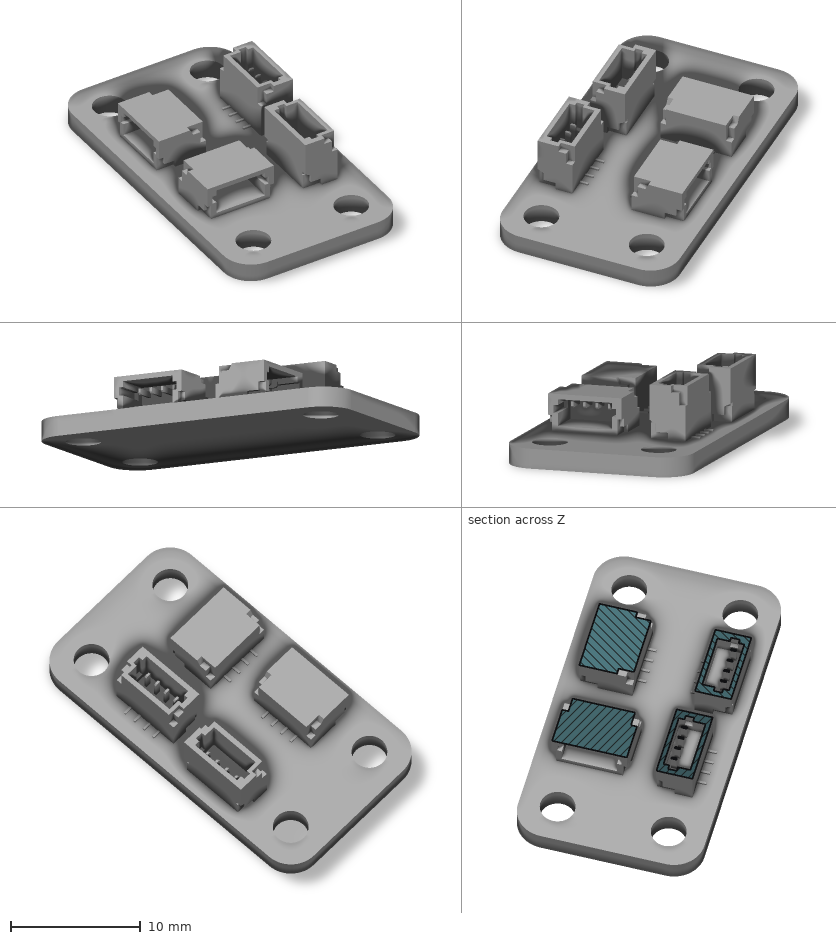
import cadquery as cq

BOARD_LENGTH = 27.1
BOARD_WIDTH = 14.93
BOARD_THICKNESS = 1.57
BOARD_CORNER_RADIUS = 2.45
HOLE_DIAMETER = 2.75
HOLE_SPACING_X = 21.08
HOLE_SPACING_Y = 8.89

HOUSING_WIDTH = 6.01
HOUSING_LONG = 4.28
HOUSING_SHORT = 2.93

STEP_DEPTH = 0.51
UPPER_NOTCH_WIDTH = 0.5
UPPER_NOTCH_HEIGHT = 1.5
UPPER_NOTCH_LENGTH = 1.16
LOWER_NOTCH_WIDTH = 0.33
LOWER_NOTCH_HEIGHT = 1.25
LOWER_NOTCH_LENGTH = 1.5
LOWER_STEP_HEIGHT = 0.6
RAMP_RUN = 0.27

CAVITY_WIDTH = 4.42
CAVITY_HEIGHT = 2.1
CAVITY_DEPTH = 2.98
CAVITY_WALL = (HOUSING_SHORT - CAVITY_HEIGHT) / 2
SLOT_DEPTH = 0.35
SLOT_LENGTH = 2.45
SLOT_HEIGHT = 0.65
SLOT_OFFSET = 0.87

CONTACT_COUNT = 4
CONTACT_PITCH = 1.0
CONTACT_WIDTH = 0.2
CONTACT_HEIGHT = 0.45
CONTACT_OFFSET = 0.8
CONTACT_LENGTH = 1.63
TIP_CHAMFER = 0.14
FOOT_LENGTH = 0.7
FOOT_THICKNESS = 0.14

UPRIGHT_PLACES = [(-4.0, 3.39, 0), (3.98, 5.4, 180)]
FLAT_PLACES = [(-4.0, -1.6, 180), (2.1, -3.03, -90)]


def side_prism(points, x_start, width):
    """Extrude a (Y, Z) outline along +X."""
    return cq.Workplane("YZ", origin=(x_start, 0, 0)).polyline(points).close().extrude(width)


def side_pair(points, width):
    """The same outline as a cut of the given width into both side walls."""
    left = side_prism(points, -HOUSING_WIDTH / 2, width)
    return left.union(left.mirror("YZ"))


def make_board():
    board = cq.Workplane("XY").box(BOARD_LENGTH, BOARD_WIDTH, BOARD_THICKNESS, centered=(True, True, False))
    board = board.translate((0, 0, -BOARD_THICKNESS)).edges("|Z").fillet(BOARD_CORNER_RADIUS)
    return (
        board.faces(">Z").workplane()
        .rect(HOLE_SPACING_X, HOLE_SPACING_Y, forConstruction=True).vertices()
        .hole(HOLE_DIAMETER)
    )


def make_shell(depth, height):
    """Block on Z = 0 with its contact side on Y = 0, notched high in front and low at the rear."""
    shell = cq.Workplane("XY").box(HOUSING_WIDTH, depth, height, centered=(True, False, False))
    upper_notch = [
        (0, height),
        (UPPER_NOTCH_LENGTH, height),
        (UPPER_NOTCH_LENGTH, height - STEP_DEPTH),
        (STEP_DEPTH, height - STEP_DEPTH),
        (STEP_DEPTH, height - UPPER_NOTCH_HEIGHT),
        (0, height - UPPER_NOTCH_HEIGHT),
    ]
    lower_notch = [
        (depth, 0),
        (depth - LOWER_NOTCH_LENGTH, 0),
        (depth - LOWER_NOTCH_LENGTH, LOWER_STEP_HEIGHT),
        (depth - STEP_DEPTH, LOWER_STEP_HEIGHT),
        (depth - STEP_DEPTH, LOWER_NOTCH_HEIGHT),
        (depth, LOWER_NOTCH_HEIGHT),
    ]
    shell = shell.cut(side_pair(upper_notch, UPPER_NOTCH_WIDTH))
    return shell.cut(side_pair(lower_notch, LOWER_NOTCH_WIDTH))


def make_feet():
    """Solder feet lying on the board in front of the contact side."""
    return (
        cq.Workplane("XY").rarray(CONTACT_PITCH, 0.27, CONTACT_COUNT, 1)
        .rect(CONTACT_WIDTH, FOOT_LENGTH).extrude(FOOT_THICKNESS)
        .translate((0, -FOOT_LENGTH / 2, 0))
    )


def make_cavity():
    """Plug cavity with key slots, opening upwards at Z = 0, rear housing face on Y = 0."""
    main_cavity = (
        cq.Workplane("XY").box(CAVITY_WIDTH, CAVITY_HEIGHT, CAVITY_DEPTH, centered=(True, False, False))
        .translate((0, -CAVITY_WALL - CAVITY_HEIGHT, -CAVITY_DEPTH))
    )
    slots_width = CAVITY_WIDTH + 2 * SLOT_DEPTH
    slots = (
        cq.Workplane("XY").box(slots_width, SLOT_HEIGHT, SLOT_LENGTH, centered=(True, False, False))
        .translate((0, -SLOT_OFFSET - SLOT_HEIGHT, -SLOT_LENGTH))
    )
    return main_cavity.union(slots)


def make_contact():
    """One contact standing on the cavity floor, its tip chamfered on the feet side."""
    tip = CONTACT_LENGTH - CAVITY_DEPTH
    rear = -CONTACT_OFFSET
    front = rear - CONTACT_HEIGHT
    profile = [
        (rear, -CAVITY_DEPTH),
        (rear, tip),
        (front + TIP_CHAMFER, tip),
        (front, tip - TIP_CHAMFER),
        (front, -CAVITY_DEPTH),
    ]
    return side_prism(profile, -CONTACT_WIDTH / 2, CONTACT_WIDTH)


def make_socket():
    """Space to cut from a shell: the cavity less the contacts left standing in it."""
    socket = make_cavity()
    contact = make_contact()
    for index in range(CONTACT_COUNT):
        x_centre = (index - (CONTACT_COUNT - 1) / 2) * CONTACT_PITCH
        socket = socket.cut(contact.translate((x_centre, 0, 0)))
    return socket


def make_upright_connector():
    """Connector that opens upwards."""
    depth, height = HOUSING_SHORT, HOUSING_LONG
    ramp = [
        (depth, LOWER_NOTCH_HEIGHT),
        (depth - STEP_DEPTH, LOWER_NOTCH_HEIGHT),
        (depth, LOWER_NOTCH_HEIGHT + RAMP_RUN),
    ]
    socket = make_socket().translate((0, depth, height))
    shell = make_shell(depth, height).cut(side_pair(ramp, UPPER_NOTCH_WIDTH)).cut(socket)
    return shell.union(make_feet())


def make_flat_connector():
    """Connector that opens along the board, away from its feet."""
    depth, height = HOUSING_LONG, HOUSING_SHORT
    ramp = [
        (UPPER_NOTCH_LENGTH, height),
        (UPPER_NOTCH_LENGTH, height - STEP_DEPTH),
        (UPPER_NOTCH_LENGTH + RAMP_RUN, height),
    ]
    socket = (
        make_socket().mirror("XZ")
        .rotate((0, 0, 0), (1, 0, 0), -90)
        .translate((0, depth, height))
    )
    shell = make_shell(depth, height).cut(side_pair(ramp, UPPER_NOTCH_WIDTH)).cut(socket)
    return shell.union(make_feet())


def place(connector, x, y, turn):
    return connector.rotate((0, 0, 0), (0, 0, 1), turn).translate((x, y, 0))


board = make_board()
upright_connectors = [place(make_upright_connector(), *spot) for spot in UPRIGHT_PLACES]
flat_connectors = [place(make_flat_connector(), *spot) for spot in FLAT_PLACES]

connectors = upright_connectors + flat_connectors
result = cq.Compound.makeCompound([board.val(), *[connector.val() for connector in connectors]])